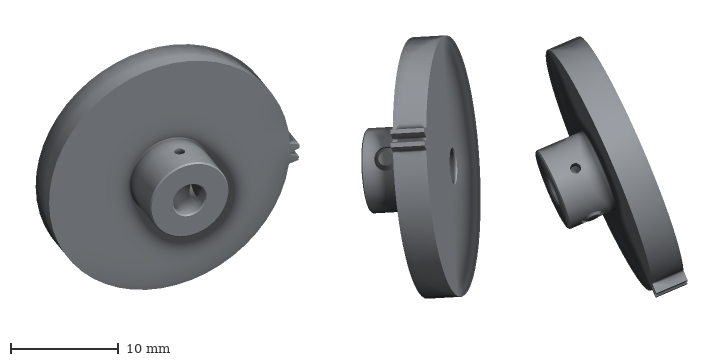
import cadquery as cq
import math

DISC_THICKNESS = 3.18
ROOT_RADIUS = 12.163

TOOTH_COUNT_FULL_GEAR = 64
TOOTH_PITCH_ANGLE = 360 / TOOTH_COUNT_FULL_GEAR
MODELLED_TEETH = 2
OVERALL_WIDTH = 25.25
TIP_RADIUS = OVERALL_WIDTH - ROOT_RADIUS
FLANK_MID_Y = 12.68
FLANK_END_Y = 12.33
TIP_HALF_WIDTH = 0.2
TIP_CORNER_Y = math.sqrt(TIP_RADIUS**2 - TIP_HALF_WIDTH**2)
FLANK_MID_HALF_WIDTH = 0.33
FLANK_END_HALF_WIDTH = 0.43
ROOT_HALF_WIDTH = 0.55
FILLET_MID_Y = 12.2
FILLET_MID_HALF_WIDTH = 0.48
TOOTH_EMBED = 0.25

OVERALL_LENGTH = 7.93
HUB_LENGTH = OVERALL_LENGTH - DISC_THICKNESS
HUB_RADIUS = 3.97
HUB_EDGE = 0.13
CROSS_HOLE_X = DISC_THICKNESS + HUB_LENGTH / 2

BORE_RADIUS = 1.6
BORE_CHAMFER = 0.13

DRILL_RADIUS = 0.5
DRILL_DEPTH = 1.0
DRILL_POINT_ANGLE = 118
DRILL_POINT_LENGTH = DRILL_RADIUS / math.tan(math.radians(DRILL_POINT_ANGLE / 2))

SCREW_RADIUS = 1.14
SCREW_INNER_Y = BORE_RADIUS
SCREW_OUTER_Y = 4.0
SCREW_CHAMFER = 0.43


def cylinder_along_x(radius, x_start, length):
    return cq.Workplane("YZ").workplane(offset=x_start).circle(radius).extrude(length)


def cylinder_along_y(radius, y_start, y_end):
    """Cylinder on the set screw axis."""
    plane = cq.Plane(origin=(CROSS_HOLE_X, y_start, 0), xDir=(1, 0, 0), normal=(0, 1, 0))
    return cq.Workplane(plane).circle(radius).extrude(y_end - y_start)


def make_tooth(index):
    """Tooth with curved flanks and root fillets, its root sunk into the disc."""
    root_y = math.sqrt(ROOT_RADIUS**2 - ROOT_HALF_WIDTH**2)
    base_y = ROOT_RADIUS - TOOTH_EMBED
    tooth = (
        cq.Workplane("YZ")
        .moveTo(base_y, -ROOT_HALF_WIDTH)
        .lineTo(root_y, -ROOT_HALF_WIDTH)
        .threePointArc((FILLET_MID_Y, -FILLET_MID_HALF_WIDTH), (FLANK_END_Y, -FLANK_END_HALF_WIDTH))
        .threePointArc((FLANK_MID_Y, -FLANK_MID_HALF_WIDTH), (TIP_CORNER_Y, -TIP_HALF_WIDTH))
        .threePointArc((TIP_RADIUS, 0), (TIP_CORNER_Y, TIP_HALF_WIDTH))
        .threePointArc((FLANK_MID_Y, FLANK_MID_HALF_WIDTH), (FLANK_END_Y, FLANK_END_HALF_WIDTH))
        .threePointArc((FILLET_MID_Y, FILLET_MID_HALF_WIDTH), (root_y, ROOT_HALF_WIDTH))
        .lineTo(base_y, ROOT_HALF_WIDTH)
        .close()
        .extrude(DISC_THICKNESS)
    )
    return tooth.rotate((0, 0, 0), (1, 0, 0), -index * TOOTH_PITCH_ANGLE)


def make_hub():
    """Hub with a chamfered free end and a small flare where it meets the disc."""
    rear_x = OVERALL_LENGTH
    flare_mid = HUB_EDGE * (1 - math.sqrt(0.5))
    return (
        cq.Workplane("XY")
        .moveTo(DISC_THICKNESS, 0)
        .lineTo(DISC_THICKNESS, HUB_RADIUS + HUB_EDGE)
        .threePointArc(
            (DISC_THICKNESS + flare_mid, HUB_RADIUS + flare_mid),
            (DISC_THICKNESS + HUB_EDGE, HUB_RADIUS),
        )
        .lineTo(rear_x - HUB_EDGE, HUB_RADIUS)
        .lineTo(rear_x, HUB_RADIUS - HUB_EDGE)
        .lineTo(rear_x, 0)
        .close()
        .revolve(360, (0, 0, 0), (1, 0, 0))
    )


def make_bore():
    """Through bore with a chamfered mouth at each end."""
    mouth_radius = BORE_RADIUS + BORE_CHAMFER
    return (
        cq.Workplane("XY")
        .polyline([
            (0, 0),
            (0, mouth_radius),
            (BORE_CHAMFER, BORE_RADIUS),
            (OVERALL_LENGTH - BORE_CHAMFER, BORE_RADIUS),
            (OVERALL_LENGTH, mouth_radius),
            (OVERALL_LENGTH, 0),
        ])
        .close()
        .revolve(360, (0, 0, 0), (1, 0, 0))
    )


def make_drilled_hole():
    """Blind hole down from the top of the hub, ending in a drill point."""
    shoulder_z = HUB_RADIUS - DRILL_DEPTH
    return (
        cq.Workplane("XZ")
        .polyline([
            (0, HUB_RADIUS),
            (DRILL_RADIUS, HUB_RADIUS),
            (DRILL_RADIUS, shoulder_z),
            (0, shoulder_z - DRILL_POINT_LENGTH),
        ])
        .close()
        .revolve(360, (0, 0, 0), (0, 1, 0))
        .translate((CROSS_HOLE_X, 0, 0))
    )


def make_gear():
    gear = cylinder_along_x(ROOT_RADIUS, 0, DISC_THICKNESS)
    for index in range(MODELLED_TEETH):
        gear = gear.union(make_tooth(index))
    gear = gear.union(make_hub())
    gear = gear.cut(make_bore())
    gear = gear.cut(make_drilled_hole())
    return gear.cut(cylinder_along_y(SCREW_RADIUS, 0, SCREW_OUTER_Y))


def make_set_screw():
    """Plain screw body with a chamfered outer end just proud of the hub."""
    screw = cylinder_along_y(SCREW_RADIUS, SCREW_INNER_Y, SCREW_OUTER_Y)
    return screw.faces(">Y").chamfer(SCREW_CHAMFER)


gear = make_gear()
set_screw = make_set_screw()

result = cq.Compound.makeCompound([gear.val(), set_screw.val()])